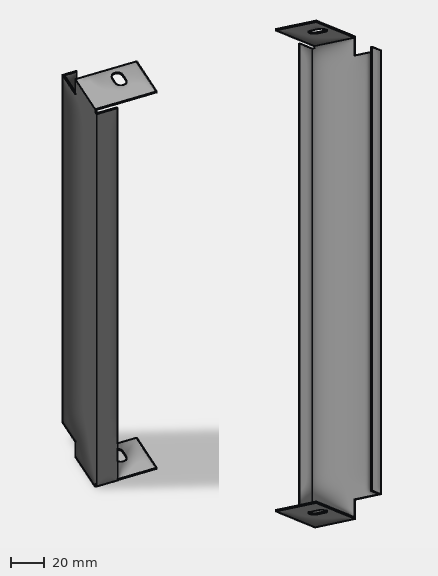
import cadquery as cq

width = 51.0
depth = 40.0
height = 301.0
sheet = 1.0

left_lip_depth = 9.0
left_lip_end_gap = 12.0
right_lip_depth = 13.5
right_lip_end_gap = 2.0

tab_left = 19.0
tab_right_gap = 2.5
tab_width = width - tab_left - tab_right_gap

slot_length = 12.0
slot_width = 7.0
slot_x = 29.2
slot_y = 24.0


def box(x, y, z, size_x, size_y, size_z):
    """Box with its lowest corner at (x, y, z)."""
    return cq.Workplane("XY").box(size_x, size_y, size_z, centered=False).translate((x, y, z))


def long_band(x, band_width, band_depth, end_gap):
    """Sheet-metal stretch along Z, shortened equally at both ends."""
    return box(x, 0, end_gap, band_width, band_depth, height - 2 * end_gap)


result = long_band(tab_left, tab_width, sheet, 0)
result = result.union(long_band(0, tab_left, sheet, left_lip_end_gap))
result = result.union(long_band(width - tab_right_gap, tab_right_gap, sheet, right_lip_end_gap))

result = result.union(long_band(0, sheet, left_lip_depth, left_lip_end_gap))
result = result.union(long_band(width - sheet, sheet, right_lip_depth, right_lip_end_gap))

for tab_z in (0, height - sheet):
    result = result.union(box(tab_left, 0, tab_z, tab_width, depth, sheet))

slot = cq.Workplane("XY").center(slot_x, slot_y).slot2D(slot_length, slot_width).extrude(height)
result = result.cut(slot)